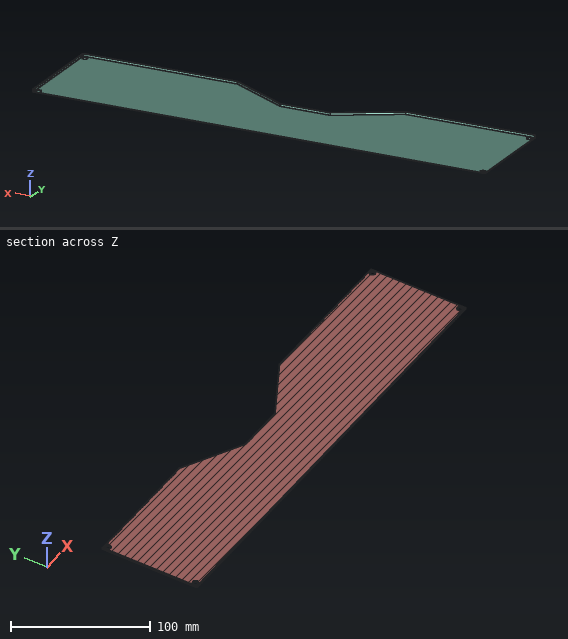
import cadquery as cq

plate_length = 363.0
plate_width = 80.0
plate_thickness = 2.0

notch_depth = 26.0
notch_center_x = 171.5
notch_mouth_width = 135.0
notch_floor_width = 40.0

hole_diameter = 4.0
hole_inset = 3.0


def make_plate():
    """Flat plate with its front left bottom corner at the origin, notched in the rear edge."""
    notch_floor_y = plate_width - notch_depth
    half_mouth = notch_mouth_width / 2
    half_floor = notch_floor_width / 2
    outline = [
        (0, 0),
        (plate_length, 0),
        (plate_length, plate_width),
        (notch_center_x + half_mouth, plate_width),
        (notch_center_x + half_floor, notch_floor_y),
        (notch_center_x - half_floor, notch_floor_y),
        (notch_center_x - half_mouth, plate_width),
        (0, plate_width),
    ]
    return cq.Workplane("XY").polyline(outline).close().extrude(plate_thickness)


def make_corner_holes():
    """Four through-hole cutters, one at each corner, equally inset from both edges."""
    centers = [
        (x, y)
        for x in (hole_inset, plate_length - hole_inset)
        for y in (hole_inset, plate_width - hole_inset)
    ]
    return cq.Workplane("XY").pushPoints(centers).circle(hole_diameter / 2).extrude(plate_thickness)


result = make_plate().cut(make_corner_holes())